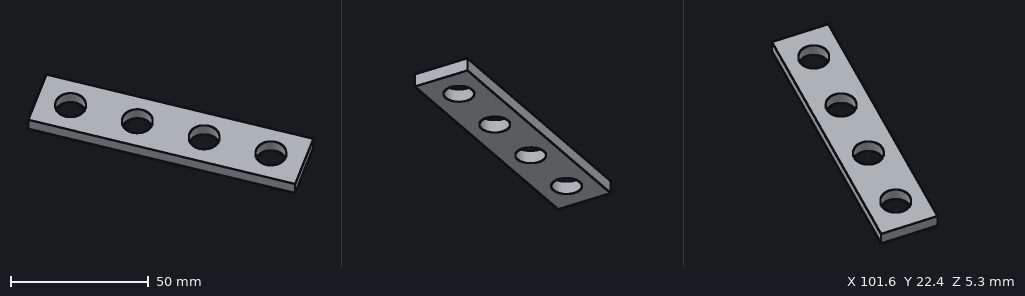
import cadquery as cq

length = 101.6
width = 22.4
thickness = 5.3

hole_count = 4
hole_diameter = 11.2
hole_pitch = length / hole_count

bar = cq.Workplane("XY").box(length, width, thickness)

result = (
    bar.faces(">Z")
    .workplane()
    .rarray(hole_pitch, width, hole_count, 1)
    .hole(hole_diameter)
)